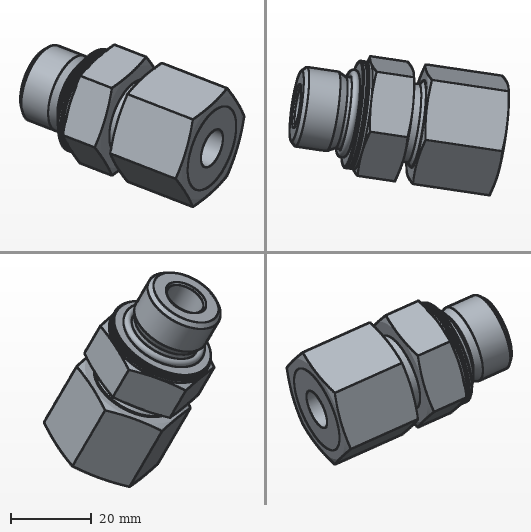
import cadquery as cq
import math


total_length = 51.0
across_flats = 27.0
flat_radius = across_flats / 2
corner_radius = flat_radius / math.cos(math.radians(30))
hex_chamfer_angle = math.radians(15)

bore_radius = 5.0
bore_chamfer = 0.5

stud_radius = 10.0
relief_radius = 9.0
stud_chamfer = 1.1
stud_end_x = 9.05
relief_start_x = 11.05

collar_x = 13.95
collar_radius = 13.45
collar_chamfer = 0.3
groove_start_x = 14.95
groove_width = 0.75
groove_depth = 0.3

body_hex_x = 16.45
body_hex_end_x = 27.05

neck_radius = 9.85
thread_radius = 11.0
thread_start_x = 29.55

nut_x = 30.5

ring_section_radius = 1.0
ring_center_radius = relief_radius + ring_section_radius
ring_x = collar_x - ring_section_radius


def revolve_about_x(profile):
    """Turn a closed outline of (x, radius) around the X axis."""
    return profile.close().revolve(360, (0, 0, 0), (1, 0, 0))


def chamfered_hexagon(start_x, end_x):
    """Hexagonal prism with flats up and down, its corners cut by a cone at both ends."""
    prism = cq.Workplane("YZ", origin=(start_x, 0, 0)).polygon(6, 2 * corner_radius)
    prism = prism.extrude(end_x - start_x)
    cone_height = corner_radius - flat_radius
    cone_length = cone_height * math.tan(hex_chamfer_angle)
    envelope = revolve_about_x(
        cq.Workplane("XY")
        .moveTo(start_x, 0)
        .lineTo(start_x, flat_radius)
        .lineTo(start_x + cone_length, corner_radius)
        .lineTo(end_x - cone_length, corner_radius)
        .lineTo(end_x, flat_radius)
        .lineTo(end_x, 0)
    )
    return prism.intersect(envelope)


def make_stud_and_collar():
    return revolve_about_x(
        cq.Workplane("XY")
        .moveTo(0, 0)
        .lineTo(0, stud_radius - stud_chamfer)
        .lineTo(stud_chamfer, stud_radius)
        .lineTo(stud_end_x, stud_radius)
        .lineTo(relief_start_x, relief_radius)
        .lineTo(collar_x, relief_radius)
        .lineTo(collar_x, collar_radius - collar_chamfer)
        .lineTo(collar_x + collar_chamfer, collar_radius)
        .lineTo(groove_start_x, collar_radius)
        .lineTo(groove_start_x + groove_width / 2, collar_radius - groove_depth)
        .lineTo(groove_start_x + groove_width, collar_radius)
        .lineTo(body_hex_x, collar_radius)
        .lineTo(body_hex_x, 0)
    )


def make_neck_and_thread():
    thread_full_x = thread_start_x + thread_radius - neck_radius
    return revolve_about_x(
        cq.Workplane("XY")
        .moveTo(body_hex_end_x, 0)
        .lineTo(body_hex_end_x, neck_radius)
        .lineTo(thread_start_x, neck_radius)
        .lineTo(thread_full_x, thread_radius)
        .lineTo(total_length, thread_radius)
        .lineTo(total_length, 0)
    )


def make_bore():
    return revolve_about_x(
        cq.Workplane("XY")
        .moveTo(0, 0)
        .lineTo(0, bore_radius + bore_chamfer)
        .lineTo(bore_chamfer, bore_radius)
        .lineTo(total_length, bore_radius)
        .lineTo(total_length, 0)
    )


def make_body():
    body = make_stud_and_collar().union(chamfered_hexagon(body_hex_x, body_hex_end_x))
    return body.union(make_neck_and_thread()).cut(make_bore())


def make_nut():
    """Hexagon nut whose hole fits the body's threaded end and lead-in."""
    return chamfered_hexagon(nut_x, total_length).cut(make_neck_and_thread())


def make_sealing_ring():
    section = cq.Workplane("XY").moveTo(ring_x, ring_center_radius).circle(ring_section_radius)
    return section.revolve(360, (0, 0, 0), (1, 0, 0))


body = make_body()
sealing_ring = make_sealing_ring()
nut = make_nut()

result = cq.Compound.makeCompound([body.val(), sealing_ring.val(), nut.val()])